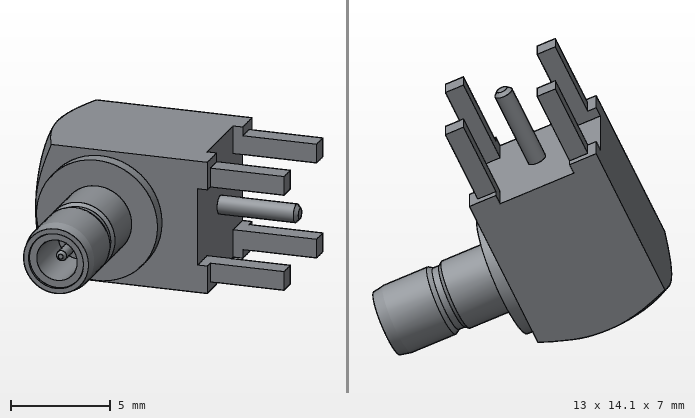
import cadquery as cq
import math

side = 7.0
half = side / 2
block_length = 9.1
relief_depth = 0.51
pad_width = 1.47
bevel_angle = 30

overall_length = 13.0
leg_width = 1.0
pin_radius = 0.48
pin_end = 12.82
pin_chamfer = 0.2

overall_depth = 14.1
barrel_length = overall_depth - side
flange_radius = 3.2
flange_thickness = 0.7
barrel_radius = 1.83
groove_radius = 1.68
groove_start = 3.3
groove_floor_start = 3.5
groove_floor_end = 3.85
groove_end = 4.09
nose_radius = 1.72
nose_length = 0.59

insulator_radius = 1.45
insulator_setback = 0.15
bore_radius = 1.07
bore_depth = 3.5
contact_radius = 0.27
contact_tip_radius = 0.13
contact_setback = 0.73
contact_chamfer = 0.14


def revolve_about_barrel_axis(points):
    """Revolve a closed (radius, distance from front face) outline."""
    profile = cq.Workplane("XY").polyline([(r, -d) for r, d in points]).close()
    solid = profile.revolve(360, (0, 0, 0), (0, 1, 0))
    return solid.translate((half, -half, 0))


def make_block():
    block = cq.Workplane("YZ").rect(side, side).extrude(block_length)

    corner_radius = half * math.sqrt(2)
    bevel_depth = (corner_radius - half) * math.tan(math.radians(bevel_angle))
    envelope = (
        cq.Workplane("XY")
        .polyline([
            (0, 0),
            (0, half),
            (bevel_depth, corner_radius),
            (block_length, corner_radius),
            (block_length, 0),
        ])
        .close()
        .revolve(360, (0, 0, 0), (1, 0, 0))
    )
    block = block.intersect(envelope)

    channel_width = side - 2 * pad_width
    channels = cq.Workplane("YZ", origin=(block_length - relief_depth, 0, 0))
    block = block.cut(channels.rect(side, channel_width).extrude(relief_depth))
    return block.cut(channels.rect(channel_width, side).extrude(relief_depth))


def make_legs():
    spacing = side - 2 * pad_width + leg_width
    return (
        cq.Workplane("YZ", origin=(block_length - relief_depth, 0, 0))
        .rect(spacing, spacing, forConstruction=True)
        .vertices()
        .rect(leg_width, leg_width)
        .extrude(overall_length - block_length + relief_depth)
    )


def make_rear_pin():
    pin_start = block_length - 2 * relief_depth
    return (
        cq.Workplane("YZ", origin=(pin_start, 0, 0))
        .circle(pin_radius)
        .extrude(pin_end - pin_start)
        .faces(">X")
        .chamfer(pin_chamfer)
    )


def make_barrel():
    return revolve_about_barrel_axis([
        (0, 0),
        (flange_radius, 0),
        (flange_radius, flange_thickness),
        (barrel_radius, flange_thickness),
        (barrel_radius, groove_start),
        (groove_radius, groove_floor_start),
        (groove_radius, groove_floor_end),
        (barrel_radius, groove_end),
        (barrel_radius, barrel_length - nose_length),
        (nose_radius, barrel_length),
        (insulator_radius, barrel_length),
        (insulator_radius, barrel_length - insulator_setback),
        (bore_radius, barrel_length - insulator_setback),
        (bore_radius, barrel_length - bore_depth),
        (0, barrel_length - bore_depth),
    ])


def make_contact():
    tip = barrel_length - contact_setback
    return revolve_about_barrel_axis([
        (0, 0),
        (contact_radius, 0),
        (contact_radius, tip - contact_chamfer),
        (contact_tip_radius, tip),
        (0, tip),
    ])


result = make_block().union(make_legs()).union(make_rear_pin())
result = result.union(make_barrel()).union(make_contact())